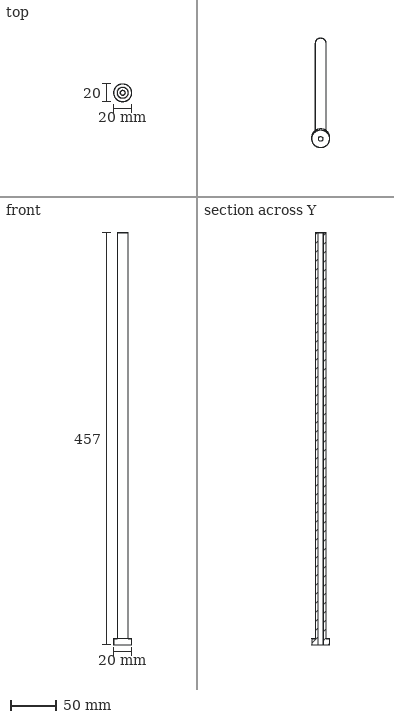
import cadquery as cq

total_length = 457.0
head_height = 7.0
head_diameter = 20.0
shaft_diameter = 12.0
bore_diameter = 5.2
root_fillet_radius = 0.5

head_radius = head_diameter / 2
shaft_radius = shaft_diameter / 2
bore_radius = bore_diameter / 2


def make_sleeve():
    """Turned sleeve: through bore, flat head, and a shaft with a rounded root."""
    fillet_outer = (-shaft_radius - root_fillet_radius, head_height)
    fillet_upper = (-shaft_radius, head_height + root_fillet_radius)
    half_section = (
        cq.Workplane("XZ")
        .moveTo(-bore_radius, 0)
        .lineTo(-head_radius, 0)
        .lineTo(-head_radius, head_height)
        .lineTo(*fillet_outer)
        .radiusArc(fillet_upper, -root_fillet_radius)
        .lineTo(-shaft_radius, total_length)
        .lineTo(-bore_radius, total_length)
        .close()
    )
    return half_section.revolve(360, (0, 0, 0), (0, 1, 0))


result = make_sleeve()